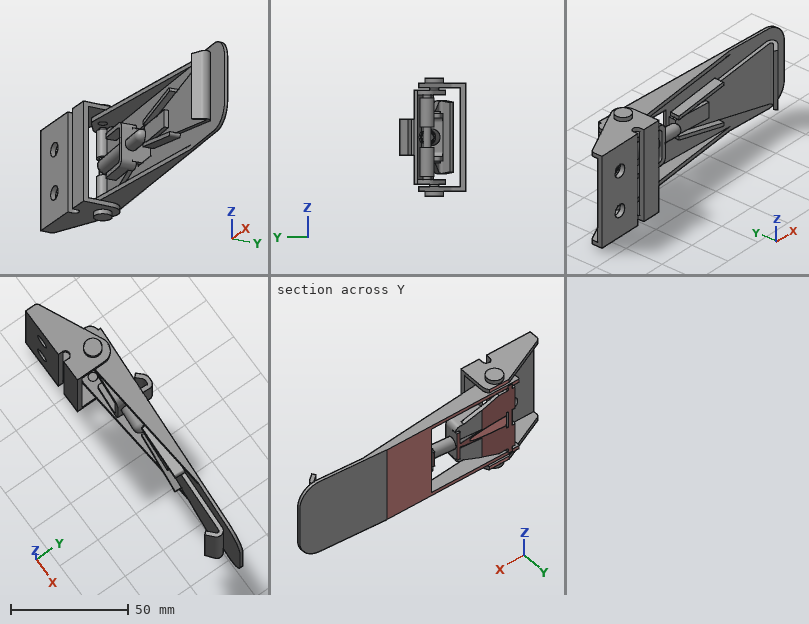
import cadquery as cq
import math


BRACKET_LENGTH = 38.0
BRACKET_WIDTH = 46.3
BASE_THICKNESS = 2.5
FLANGE_THICKNESS = 2.1
FLANGE_SLOPE = 25.0
FLANGE_TOP_Y = 20.2
FLANGE_TOP_RADIUS = 6.0
FLANGE_TOE_RADIUS = 2.1
SLOT_WIDTH = 4.0
SLOT_CENTER_X = 26.0
SLOT_DEPTH = 4.3
MOUNT_HOLE_DIAMETER = 6.4
MOUNT_HOLE_X = 12.0
MOUNT_HOLE_SPACING = 20.0

PIVOT_X = 30.4
PIVOT_Y = 13.5
PIVOT_DIAMETER = 4.0
PIVOT_HEAD_DIAMETER = 8.0
PIVOT_HEAD_HEIGHT = 2.1

HANDLE_END_X = 138.2
HANDLE_START_X = 24.2
HANDLE_START_Y = 22.1
HANDLE_TILT = 3.5
HANDLE_WIDTH = 40.4
HANDLE_THICKNESS = 1.5
HANDLE_CORNER_RADIUS = 10.4
EAR_THICKNESS = 2.1
EAR_END_X = 104.4
EAR_NOSE_Y = 16.7
EAR_NOSE_RADIUS = 4.0
EAR_PIVOT_RADIUS = 4.8
WINDOW_START_X = 51.8
WINDOW_END_X = 64.5
WINDOW_WIDTH = 16.6

HINGE_X = 25.3
HINGE_Y = 16.6
HOOK_TILT = 4.3
HINGE_PIN_DIAMETER = 3.5
HINGE_PIN_LENGTH = 38.5
BARREL_DIAMETER = 6.0
BARREL_OUTER_Z = 16.9
BARREL_INNER_Z = 4.3
HOOK_SHEET = 2.1
FLOOR_TOP = 2.5
FLOOR_TAPER_START = 6.1
FLOOR_TAPER_END = 24.7
WEB_END = 29.2
PAN_WIDTH = 20.5
PAN_BOTTOM = -4.7
PAN_WALL_START = 12.2
PAN_CORNER_RADIUS = 3.0
PAN_TOE_RADIUS = 1.2
TUBE_START = 1.8
TUBE_DIAMETER = 7.0
CLAW_WIDTH = 15.5
CLAW_HEIGHT = 13.7
CLAW_TIP = (20.9, 9.0)
CLAW_BEND_X = 23.9
CLAW_BEND_RADII = (1.4, 3.5)

SCREW_DIAMETER = 6.0
SCREW_ROOT_DIAMETER = 5.0
SCREW_SHOULDER = 39.3

CATCH_X = 66.5
CATCH_TILT = 4.5
CATCH_SHEET = 2.0
CATCH_HALF_WIDTH = 4.0
CATCH_FLARE = 10.7
CATCH_BEND = (64.1, -1.0)
CATCH_TIP = (57.5, -7.5)
CATCH_BEND_RADIUS = 2.0
CATCH_REACH = 69.1
WING_START = 1.0
WING_END = 28.6
WING_DEPTH = 5.0
WING_THICKNESS = 1.8
WING_CORNER_RADIUS = 0.8
PAD_LENGTH = 20.5
PAD_HEIGHT = 2.0


def slab(profile, thickness, center_z=0.0):
    """Extrude a closed XY profile symmetrically about the plane z = center_z."""
    return profile.extrude(thickness).translate((0, 0, center_z - thickness / 2))


def disc(x, y, diameter, length, center_z=0.0):
    """Cylinder along Z, centred on z = center_z."""
    return slab(cq.Workplane("XY").center(x, y).circle(diameter / 2), length, center_z)


def rod_along_x(start, end, diameter):
    return cq.Workplane("YZ").workplane(offset=start).circle(diameter / 2).extrude(end - start)


def bent_sheet(points, bend_radii, thickness, width):
    """Sheet that follows a polyline in XY, rounded at each inner point."""
    path = cq.Workplane("XY").moveTo(*points[0])
    for before, corner, after, radius in zip(points, points[1:], points[2:], bend_radii):
        corner = cq.Vector(*corner)
        back = (cq.Vector(*before) - corner).normalized()
        ahead = (cq.Vector(*after) - corner).normalized()
        half_angle = back.getAngle(ahead) / 2
        setback = radius / math.tan(half_angle)
        to_center = (back + ahead).normalized()
        middle = corner + to_center * (radius / math.sin(half_angle) - radius)
        bend_start = corner + back * setback
        bend_end = corner + ahead * setback
        path = path.lineTo(bend_start.x, bend_start.y)
        path = path.threePointArc((middle.x, middle.y), (bend_end.x, bend_end.y))
    path = path.lineTo(*points[-1])
    direction = cq.Vector(*points[1]) - cq.Vector(*points[0])
    section = cq.Plane(origin=points[0] + (0,), xDir=(0, 0, 1), normal=direction.toTuple())
    return cq.Workplane(section).rect(width, thickness).sweep(path)


def place(body, tilt, x, y):
    """Tilt a body about its own origin, its far end towards the base, and move it to (x, y)."""
    return body.rotate((0, 0, 0), (0, 0, 1), -tilt).translate((x, y, 0))


def handle_top(x):
    return HANDLE_START_Y - (x - HANDLE_START_X) * math.tan(math.radians(HANDLE_TILT))


def make_bracket():
    slope = math.radians(FLANGE_SLOPE)
    arc_x = BRACKET_LENGTH - FLANGE_TOP_RADIUS
    arc_y = FLANGE_TOP_Y - FLANGE_TOP_RADIUS
    tangent_x = arc_x - FLANGE_TOP_RADIUS * math.sin(slope)
    tangent_y = arc_y + FLANGE_TOP_RADIUS * math.cos(slope)
    outline = (
        cq.Workplane("XY")
        .lineTo(BRACKET_LENGTH, 0)
        .lineTo(BRACKET_LENGTH, arc_y)
        .threePointArc((arc_x, FLANGE_TOP_Y), (tangent_x, tangent_y))
        .lineTo(0, tangent_y - tangent_x * math.tan(slope))
        .close()
    )
    body = slab(outline, BRACKET_WIDTH)
    body = body.faces("<X").edges("|Z and >Y").fillet(FLANGE_TOE_RADIUS)

    inner_width = BRACKET_WIDTH - 2 * FLANGE_THICKNESS
    channel = cq.Workplane("XY").box(BRACKET_LENGTH, FLANGE_TOP_Y, inner_width, centered=(False, False, True))
    body = body.cut(channel.translate((0, BASE_THICKNESS, 0)))

    slot_arc_y = SLOT_DEPTH - SLOT_WIDTH / 2
    slot = cq.Workplane("XY").center(SLOT_CENTER_X, 0).rect(SLOT_WIDTH, 2 * slot_arc_y)
    body = body.cut(slab(slot, BRACKET_WIDTH))
    body = body.cut(disc(SLOT_CENTER_X, slot_arc_y, SLOT_WIDTH, BRACKET_WIDTH))

    mount_holes = (
        cq.Workplane("XZ")
        .pushPoints([(MOUNT_HOLE_X, side * MOUNT_HOLE_SPACING / 2) for side in (-1, 1)])
        .circle(MOUNT_HOLE_DIAMETER / 2)
        .extrude(-BASE_THICKNESS)
    )
    body = body.cut(mount_holes)

    stud_inner_z = HANDLE_WIDTH / 2 - EAR_THICKNESS
    stud_length = BRACKET_WIDTH / 2 - stud_inner_z
    for side in (-1, 1):
        stud_z = side * (stud_inner_z + stud_length / 2)
        head_z = side * (BRACKET_WIDTH + PIVOT_HEAD_HEIGHT) / 2
        body = body.union(disc(PIVOT_X, PIVOT_Y, PIVOT_DIAMETER, stud_length, stud_z))
        body = body.union(disc(PIVOT_X, PIVOT_Y, PIVOT_HEAD_DIAMETER, PIVOT_HEAD_HEIGHT, head_z))
    return body


def ear_outline():
    """Side wall: round nose at the hinge, round heel at the pivot, tapering to the plate."""
    nose = cq.Vector(HANDLE_START_X, EAR_NOSE_Y)
    heel = cq.Vector(PIVOT_X, PIVOT_Y)
    run = heel - nose
    turn = math.acos((EAR_NOSE_RADIUS - EAR_PIVOT_RADIUS) / run.Length)
    normal_angle = math.atan2(run.y, run.x) - turn
    normal = cq.Vector(math.cos(normal_angle), math.sin(normal_angle))
    nose_tangent = nose + normal * EAR_NOSE_RADIUS
    heel_tangent = heel + normal * EAR_PIVOT_RADIUS
    heel_bottom_y = PIVOT_Y - EAR_PIVOT_RADIUS
    mid_angle = (normal_angle - math.pi / 2) / 2
    heel_middle = heel + cq.Vector(math.cos(mid_angle), math.sin(mid_angle)) * EAR_PIVOT_RADIUS
    return (
        cq.Workplane("XY")
        .moveTo(HANDLE_START_X, HANDLE_START_Y)
        .lineTo(HANDLE_START_X, EAR_NOSE_Y + EAR_NOSE_RADIUS)
        .threePointArc((HANDLE_START_X - EAR_NOSE_RADIUS, EAR_NOSE_Y), (nose_tangent.x, nose_tangent.y))
        .lineTo(heel_tangent.x, heel_tangent.y)
        .threePointArc((heel_middle.x, heel_middle.y), (PIVOT_X, heel_bottom_y))
        .lineTo(EAR_END_X, handle_top(EAR_END_X) - HANDLE_THICKNESS)
        .lineTo(EAR_END_X, handle_top(EAR_END_X))
        .close()
    )


def make_handle():
    end_y = handle_top(HANDLE_END_X)
    plate_profile = cq.Workplane("XY").polyline([
        (HANDLE_START_X, HANDLE_START_Y),
        (HANDLE_END_X, end_y),
        (HANDLE_END_X, end_y - HANDLE_THICKNESS),
        (HANDLE_START_X, HANDLE_START_Y - HANDLE_THICKNESS),
    ]).close()
    body = slab(plate_profile, HANDLE_WIDTH)
    body = body.faces(">X").edges("|Y").fillet(HANDLE_CORNER_RADIUS)

    for side in (-1, 1):
        body = body.union(slab(ear_outline(), EAR_THICKNESS, side * (HANDLE_WIDTH - EAR_THICKNESS) / 2))

    window = cq.Workplane("XY").box(
        WINDOW_END_X - WINDOW_START_X, HANDLE_START_Y, WINDOW_WIDTH, centered=(False, False, True)
    )
    body = body.cut(window.translate((WINDOW_START_X, PIVOT_Y, 0)))

    body = body.cut(disc(PIVOT_X, PIVOT_Y, PIVOT_DIAMETER, HANDLE_WIDTH))
    return body.cut(disc(HINGE_X, HINGE_Y, HINGE_PIN_DIAMETER, HINGE_PIN_LENGTH))


def make_hook():
    floor_bottom = FLOOR_TOP - HOOK_SHEET
    half_pan = PAN_WIDTH / 2
    half_floor = [
        (0, BARREL_OUTER_Z),
        (FLOOR_TAPER_START, BARREL_OUTER_Z),
        (FLOOR_TAPER_END, half_pan),
        (WEB_END, half_pan),
    ]
    outline = half_floor + [(u, -z) for u, z in reversed(half_floor)]
    floor = cq.Workplane("XZ").workplane(offset=-FLOOR_TOP).polyline(outline).close().extrude(HOOK_SHEET)
    floor = floor.edges("|Y and >X").fillet(PAN_CORNER_RADIUS)

    rim_length = WEB_END - PAN_WALL_START
    rim_height = FLOOR_TOP - PAN_BOTTOM
    rim = cq.Workplane("XY").box(rim_length, rim_height, PAN_WIDTH, centered=(False, False, True))
    rim = rim.edges("|Y and >X").fillet(PAN_CORNER_RADIUS)
    cavity = cq.Workplane("XY").box(
        rim_length - HOOK_SHEET, rim_height, PAN_WIDTH - 2 * HOOK_SHEET, centered=(False, False, True)
    )
    cavity = cavity.edges("|Y and >X").fillet(PAN_CORNER_RADIUS - HOOK_SHEET / 2)
    rim = rim.cut(cavity).edges("|Z and <X and <Y").fillet(PAN_TOE_RADIUS)
    body = floor.union(rim.translate((PAN_WALL_START, PAN_BOTTOM, 0)))

    notch_width = 2 * BARREL_INNER_Z
    notch = cq.Workplane("XY").box(TUBE_START, BARREL_DIAMETER, notch_width, centered=(False, True, True))
    body = body.cut(notch)
    barrel_length = BARREL_OUTER_Z - BARREL_INNER_Z
    for side in (-1, 1):
        barrel_z = side * (BARREL_INNER_Z + barrel_length / 2)
        body = body.union(disc(0, 0, BARREL_DIAMETER, barrel_length, barrel_z))
    body = body.union(disc(0, 0, HINGE_PIN_DIAMETER, HINGE_PIN_LENGTH))

    web_x = WEB_END - HOOK_SHEET / 2
    bend_y = CLAW_HEIGHT - HOOK_SHEET / 2
    claw_path = [(web_x, floor_bottom), (web_x, bend_y), (CLAW_BEND_X, bend_y), CLAW_TIP]
    body = body.union(bent_sheet(claw_path, CLAW_BEND_RADII, HOOK_SHEET, CLAW_WIDTH))

    body = body.union(rod_along_x(TUBE_START, web_x, TUBE_DIAMETER))
    body = body.cut(rod_along_x(TUBE_START, WEB_END, SCREW_DIAMETER))
    return place(body, HOOK_TILT, HINGE_X, HINGE_Y)


def make_screw():
    body = rod_along_x(TUBE_START, SCREW_SHOULDER, SCREW_DIAMETER)
    body = body.faces("<X").chamfer((SCREW_DIAMETER - SCREW_ROOT_DIAMETER) / 2)
    body = body.union(cq.Workplane("XY").sphere(SCREW_DIAMETER / 2).translate((SCREW_SHOULDER, 0, 0)))
    return place(body, HOOK_TILT, HINGE_X, HINGE_Y)


def make_catch():
    flare = math.tan(math.radians(CATCH_FLARE))

    def edge_z(s):
        return CATCH_HALF_WIDTH + s * flare

    sheet_path = [(0, -CATCH_SHEET / 2), CATCH_BEND, CATCH_TIP]
    body = bent_sheet(sheet_path, [CATCH_BEND_RADIUS], CATCH_SHEET, 2 * edge_z(CATCH_REACH))
    flared = [
        (0, edge_z(0)),
        (CATCH_REACH, edge_z(CATCH_REACH)),
        (CATCH_REACH, -edge_z(CATCH_REACH)),
        (0, -edge_z(0)),
    ]
    body = body.intersect(cq.Workplane("XZ").polyline(flared).close().extrude(CATCH_REACH / 2, both=True))

    wing_z = WING_THICKNESS / math.cos(math.radians(CATCH_FLARE))
    wing = (
        cq.Workplane("XZ")
        .polyline([
            (WING_START, edge_z(WING_START)),
            (WING_END, edge_z(WING_END)),
            (WING_END, edge_z(WING_END) + wing_z),
            (WING_START, edge_z(WING_START) + wing_z),
        ])
        .close()
        .extrude(WING_DEPTH)
        .edges("|Y and >X and >Z")
        .fillet(WING_CORNER_RADIUS)
    )
    body = body.union(wing).union(wing.mirror("XY"))

    pad = cq.Workplane("XY").box(PAD_LENGTH, PAD_HEIGHT, 2 * CATCH_HALF_WIDTH, centered=(False, False, True))
    body = body.union(pad.translate((0, -CATCH_SHEET - PAD_HEIGHT, 0)))
    body = place(body, CATCH_TILT, CATCH_X, handle_top(CATCH_X) - HANDLE_THICKNESS)
    return body.cut(make_screw())


bracket = make_bracket()
handle = make_handle()
hook = make_hook()
screw = make_screw()
catch = make_catch()

result = cq.Compound.makeCompound([
    *bracket.solids().vals(),
    *handle.solids().vals(),
    *hook.solids().vals(),
    *screw.solids().vals(),
    *catch.solids().vals(),
])